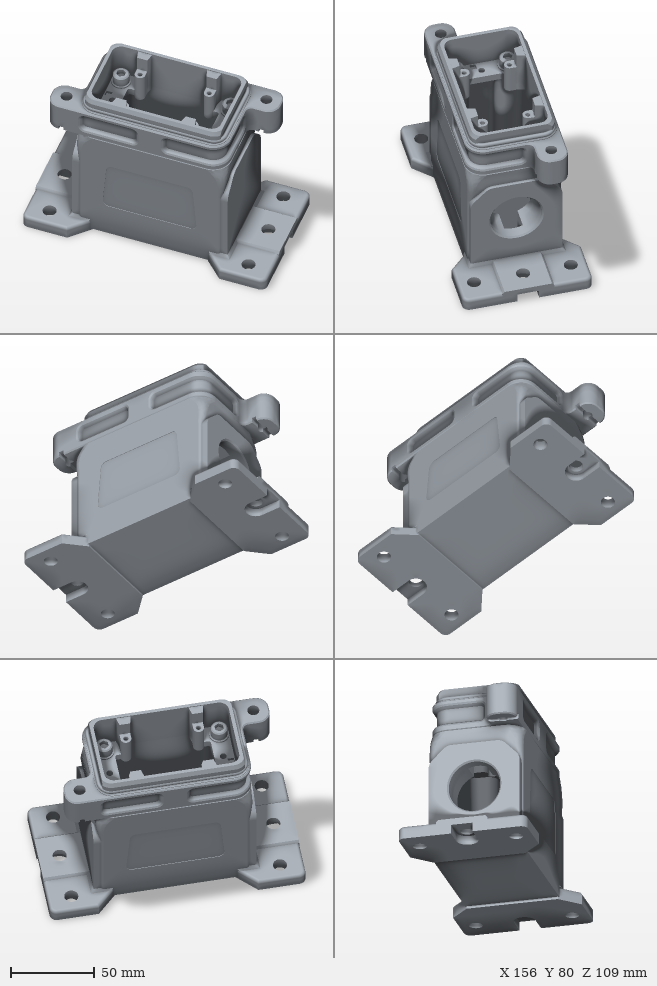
import cadquery as cq
import math

length, width, height = 156, 80.0, 109.0

foot_side_top = 8.1
foot_mid_top = 9.7
foot_mid_half, foot_step_run = 14.7, 1.4
foot_diagonal_x = 48.7
foot_inner_x = 37.0
foot_corner_radius, foot_edge_radius = 4.2, 2.0
foot_hole_d = 8.5
outer_hole_x, outer_hole_y, mid_hole_x = 63.6, 30.0, 65.2
key_slot_width, key_slot_height = 13.4, 5.6

body_bottom = 1.5
body_x, body_y, body_radius = 91.7, 58.3, 2.5
flare_bottom = 57.7
flare_stages = [(67.9, 95.2, 4.0), (74.0, 95.5, 6.0)]

plate_x, plate_half_y, plate_top = 49.8, 28.4, 69.9
plate_chamfer, plate_blend = 11.2, 7.8
skirt = 1.9
entry_z, entry_d, entry_chamfer = 41.8, 32.0, 1.0
entry_notch_x, entry_notch_half_y = 42.1, 5.8

collar_x, collar_y, collar_radius = 96.1, body_y, 11.5
collar_bottom, collar_top, collar_edge = 80.0, 100.2, 0.8
ear_end_x, ear_inner_y, ear_radius, ear_blend = 66.1, 10.5, 7.6, 3.9
ear_hole_x, ear_hole_y = 56.6, 19.7
ear_hole_d, ear_bore_d, ear_bore_depth = 6.0, 7.2, 9.4
platform_inset, platform_height = 1.2, 0.5
ear_slot_width, ear_slot_height = 3.3, 3.0

recess_start, recess_end = 7.2, 45.7
recess_bottom, recess_top = 83.5, 97.7
recess_depth, recess_inset, recess_radius = 2.8, 2.5, 4.4
recess_lip_depth, recess_lip_inset = 0.6, 1.1

rim_x, rim_y, rim_radius = 90.8, 52.7, 8.1
rim_end_x = 43.4
rim_chamfer_in, rim_chamfer_down = 1.5, 2.5
bead_bottom, bead_top, bead_out = 100.6, 103.5, 0.6

opening_x, opening_y, opening_radius = 82.4, 45.5, 6.0
shelf_z = 79.9
tray_top, tray_thickness = 85.5, 4.7
tray_edge_x, tray_edge_half_y = 29.2, 12.5
tray_gap_half_x, long_gap_radius, wide_gap_radius = 25.3, 0.8, 1.5
well_half_x, well_radius, well_floor, well_lean = 29.2, 4.7, 6.2, 1.9
niche_half_y, niche_radius, niche_mouth_radius = 8.3, 2.5, 6.0

post_x, post_top, post_tip_y = 22.2, 108.4, 17.6
post_root_half, post_tip_half = 4.5, 3.3
lug_y, lug_top = 14.0, 98.7
lug_hole_d, lug_hole_mouth_d, lug_hole_depth = 2.8, 3.5, 7.8

screw_x, screw_y, screw_top = 35.1, 16.2, 92.8
washer_d, washer_height = 12.0, 1.0
head_d, head_edge, hex_d, hex_depth = 10.0, 0.8, 6.0, 3.1
tray_hole_x, tray_hole_d = 34.6, 4.0
tray_notch_x, tray_notch_y, tray_notch_size, tray_notch_depth = 38.7, 4.2, 3.7, 1.9

panel_bottom, panel_top = 24.8, 59.7
panel_bottom_half, panel_top_half, panel_radius, panel_depth = 30.3, 27.5, 3.9, 0.3

ENDS = (-1, 1)
CORNERS = [(sx, sy) for sx in ENDS for sy in ENDS]


def rounded_block(size_x, size_y, radius, z0, z1):
    """Upright block, centred on the Z axis, with rounded vertical edges."""
    block = cq.Workplane("XY", origin=(0, 0, z0)).rect(size_x, size_y).extrude(z1 - z0)
    return block.edges("|Z").fillet(radius)


def box_between(x0, x1, y0, y1, z0, z1):
    return cq.Workplane("XY").box(x1 - x0, y1 - y0, z1 - z0, centered=False).translate((x0, y0, z0))


def upright(d, x, y, z0, z1):
    return cq.Workplane("XY", origin=(x, y, z0)).circle(d / 2).extrude(z1 - z0)


def countersunk(d, mouth_d, x, y, z0, z1):
    """Round hole with a 45 degree mouth at the top."""
    lead = (mouth_d - d) / 2
    mouth = cq.Workplane("XY", origin=(x, y, z1)).circle(mouth_d / 2).extrude(-lead, taper=45)
    return upright(d, x, y, z0, z1).union(mouth)


def half_turn(shape):
    return shape.rotate((0, 0, 0), (0, 0, 1), 180)


def foot():
    """Foot at the -X end."""
    end_x, half_y = -length / 2, width / 2
    inner_y = half_y - (foot_diagonal_x - foot_inner_x)
    outline = [
        (end_x, -half_y), (-foot_diagonal_x, -half_y), (-foot_inner_x, -inner_y),
        (-foot_inner_x, inner_y), (-foot_diagonal_x, half_y), (end_x, half_y),
    ]
    pad = cq.Workplane("XY").polyline(outline).close().extrude(foot_side_top)
    pad = pad.edges("|Z and <X").fillet(foot_corner_radius)
    pad = pad.faces(">Z").edges("not >X").fillet(foot_edge_radius)

    run_half = foot_mid_half + foot_step_run
    middle_section = [
        (-run_half, 0), (run_half, 0), (run_half, foot_side_top),
        (foot_mid_half, foot_mid_top), (-foot_mid_half, foot_mid_top), (-run_half, foot_side_top),
    ]
    middle = (
        cq.Workplane("YZ", origin=(end_x, 0, 0)).polyline(middle_section).close()
        .extrude(length / 2 - foot_inner_x)
    )
    bead = (
        cq.Workplane("XY", origin=(0, 0, foot_side_top))
        .rect(2 * (plate_x + skirt), 2 * (plate_half_y + skirt)).extrude(skirt, taper=45)
    )
    blank = cq.Workplane("XY").polyline(outline).close().extrude(foot_side_top + skirt)
    return pad.union(middle).union(bead.intersect(blank))


def foot_cuts():
    """Bolt holes and the round-ended key slot under the -X foot."""
    cuts = upright(foot_hole_d, -mid_hole_x, 0, 0, foot_mid_top)
    for side in ENDS:
        cuts = cuts.union(upright(foot_hole_d, -outer_hole_x, side * outer_hole_y, 0, foot_mid_top))
    slot_half = key_slot_width / 2
    slot = box_between(-length / 2, -mid_hole_x, -slot_half, slot_half, 0, key_slot_height)
    return cuts.union(slot).union(upright(key_slot_width, -mid_hole_x, 0, 0, key_slot_height))


def body():
    straight = rounded_block(body_x, body_y, body_radius, body_bottom, flare_bottom)
    stages = [
        (flare_bottom, body_x, body_radius), *flare_stages, (collar_bottom, collar_x, collar_radius),
    ]
    outlines = [
        cq.Sketch().rect(size_x, body_y).vertices().fillet(radius)
        .moved(cq.Location(cq.Vector(0, 0, z)))
        for z, size_x, radius in stages
    ]
    flare = cq.Workplane("XY").placeSketch(*outlines).loft()
    block = box_between(-collar_x / 2, collar_x / 2, -body_y / 2, body_y / 2, body_bottom, collar_bottom)
    return block.intersect(straight.union(flare)).clean()


def end_plates():
    plate = box_between(-plate_x, plate_x, -plate_half_y, plate_half_y, body_bottom, plate_top)
    plate = plate.edges("|X and >Z").chamfer(plate_chamfer)
    shoulder = plate_top - plate_chamfer
    upper = cq.selectors.BoxSelector((-length, -width, shoulder / 2), (length, width, height))
    return plate.edges("|X").edges(upper).fillet(plate_blend)


def label_panels():
    panel = (
        cq.Workplane("XZ", origin=(0, body_y / 2, 0))
        .polyline([
            (-panel_bottom_half, panel_bottom), (panel_bottom_half, panel_bottom),
            (panel_top_half, panel_top), (-panel_top_half, panel_top),
        ]).close().extrude(panel_depth)
        .edges("|Y").fillet(panel_radius)
    )
    return panel.union(half_turn(panel))


def ear():
    """Ear at the (-X, -Y) corner, blended into the collar end."""
    collar_end = -collar_x / 2
    tab = box_between(-ear_end_x, 0, -collar_y / 2, -ear_inner_y, collar_bottom, collar_top)
    tab = tab.edges("|Z and <X").fillet(ear_radius)
    web = box_between(collar_end - ear_blend, 0, -ear_inner_y, ear_blend - ear_inner_y,
                      collar_bottom, collar_top)
    web = web.cut(upright(2 * ear_blend, collar_end - ear_blend, ear_blend - ear_inner_y,
                          collar_bottom, collar_top))
    return tab.union(web)


def collar():
    ring = rounded_block(collar_x, collar_y, collar_radius, collar_bottom, collar_top)
    ring = ring.union(ear()).union(half_turn(ear())).clean()
    ring = ring.faces(">Z or <Z").edges().chamfer(collar_edge)
    platform = rounded_block(collar_x - 2 * platform_inset, collar_y - 2 * platform_inset,
                             collar_radius - platform_inset, collar_bottom, collar_top + platform_height)
    return ring.union(platform)


def ear_cuts():
    hole = upright(ear_hole_d, -ear_hole_x, -ear_hole_y, collar_bottom, collar_top)
    bore = upright(ear_bore_d, -ear_hole_x, -ear_hole_y, collar_top - ear_bore_depth, collar_top)
    slot_half = ear_slot_width / 2
    slot = box_between(-ear_hole_x - slot_half, slot_half - ear_hole_x, -collar_y / 2, -ear_inner_y,
                       collar_bottom, collar_bottom + ear_slot_height)
    cuts = hole.union(bore).union(slot)
    return cuts.union(half_turn(cuts))


def flat_recess(start, end):
    """Round-cornered recess with sloping walls in the -Y face."""
    middle_z = (recess_bottom + recess_top) / 2

    def stage(inset0, inset1, depth0, depth1):
        outline = (
            cq.Sketch().rect(end - start - 2 * inset0, recess_top - recess_bottom - 2 * inset0)
            .vertices().fillet(recess_radius - inset0)
        )
        slope = math.degrees(math.atan2(inset1 - inset0, depth1 - depth0))
        return (
            cq.Workplane("XZ", origin=((start + end) / 2, depth0 - collar_y / 2, middle_z))
            .placeSketch(outline).extrude(depth0 - depth1, taper=slope)
        )

    lip = stage(0, recess_lip_inset, 0, recess_lip_depth)
    return lip.union(stage(recess_lip_inset, recess_inset, recess_lip_depth, recess_depth))


def wrapped_recess():
    """Recess that runs round the (+X, -Y) corner."""
    corner_x = collar_x / 2 - collar_radius
    corner_y = collar_radius - collar_y / 2
    front = flat_recess(recess_start, length).intersect(
        box_between(0, corner_x, -width, 0, 0, height))
    side = flat_recess(-length, recess_start).rotate((0, 0, 0), (0, 0, 1), 90)
    side = side.translate((collar_x / 2 - collar_y / 2, 0, 0))
    side = side.intersect(box_between(0, length, corner_y, width, 0, height))
    lip_radius = collar_radius - recess_lip_depth
    floor_radius = collar_radius - recess_depth
    corner = (
        cq.Workplane("XZ", origin=(corner_x, corner_y, 0))
        .polyline([
            (collar_radius, recess_bottom), (collar_radius, recess_top),
            (lip_radius, recess_top - recess_lip_inset),
            (floor_radius, recess_top - recess_inset), (floor_radius, recess_bottom + recess_inset),
            (lip_radius, recess_bottom + recess_lip_inset),
        ]).close().revolve(90, (0, 0, 0), (0, -1, 0))
    )
    return front.union(corner).union(side)


def rim():
    block = rounded_block(rim_x, rim_y, rim_radius, collar_bottom, height)
    block = block.faces(">Z").edges().chamfer(rim_chamfer_down, rim_chamfer_in)
    block = block.intersect(box_between(-rim_end_x, rim_end_x, -width, width, 0, height))
    bead_radius = (bead_top - bead_bottom) / 2
    bead_z = bead_bottom + bead_radius
    bead_inset = bead_radius - bead_out
    path = rounded_block(rim_x - 2 * bead_inset, rim_y - 2 * bead_inset, rim_radius - bead_inset,
                         bead_z, height).faces("<Z").wires()
    bead = (
        cq.Workplane("XZ", origin=(0, 0, bead_z)).center(rim_x / 2 - bead_inset, 0)
        .circle(bead_radius).sweep(path)
    )
    neck = rounded_block(rim_x, rim_y, rim_radius, collar_bottom, bead_z)
    return block.union(bead).union(neck)


def cavity():
    opening = rounded_block(opening_x, opening_y, opening_radius, tray_top, height)
    tray_bottom = tray_top - tray_thickness
    long_gap = rounded_block(2 * tray_gap_half_x, opening_y, long_gap_radius, tray_bottom, tray_top)
    wide_gap = rounded_block(2 * tray_edge_x, 2 * tray_edge_half_y, wide_gap_radius, tray_bottom, tray_top)
    top_half_y = opening_y / 2
    floor_half_y = top_half_y - well_lean
    well = (
        cq.Workplane("YZ", origin=(-well_half_x, 0, 0))
        .polyline([
            (-floor_half_y, well_floor), (floor_half_y, well_floor),
            (top_half_y, tray_bottom), (-top_half_y, tray_bottom),
        ]).close().extrude(2 * well_half_x)
    )
    well = well.faces("<X or >X").edges("not |Y").fillet(well_radius)

    niche = rounded_block(opening_x, 2 * niche_half_y, niche_radius, well_floor, tray_bottom)
    niche = niche.intersect(box_between(0, length, -width, width, 0, height))
    mouth_x = well_half_x + niche_mouth_radius
    mouth_half_y = niche_half_y + niche_mouth_radius
    mouth = box_between(0, mouth_x, -mouth_half_y, mouth_half_y, well_floor, tray_bottom)
    for side_y in ENDS:
        mouth = mouth.cut(upright(2 * niche_mouth_radius, mouth_x, side_y * mouth_half_y,
                                  well_floor, tray_bottom))

    notch = box_between(-entry_notch_x, -well_half_x, -entry_notch_half_y, entry_notch_half_y,
                        well_floor, tray_bottom)
    return opening.union(long_gap).union(wide_gap).union(well).union(niche).union(mouth).union(notch)


def post(side_x, side_y):
    """Wall post with a lower, round-nosed screw lug in front of it."""
    wall_y = opening_y / 2
    centre_x = side_x * post_x
    root = (
        cq.Workplane("XY", origin=(centre_x, 0, shelf_z))
        .polyline([
            (-post_root_half, side_y * wall_y), (post_root_half, side_y * wall_y),
            (post_tip_half, side_y * post_tip_y), (-post_tip_half, side_y * post_tip_y),
        ]).close().extrude(post_top - shelf_z)
    )
    near_y, far_y = sorted((side_y * lug_y, side_y * wall_y))
    lug = box_between(centre_x - post_tip_half, centre_x + post_tip_half, near_y, far_y, shelf_z, lug_top)
    lug = lug.union(upright(2 * post_tip_half, centre_x, side_y * lug_y, shelf_z, lug_top))
    hole = countersunk(lug_hole_d, lug_hole_mouth_d, centre_x, side_y * lug_y,
                       lug_top - lug_hole_depth, lug_top)
    return root.union(lug).cut(hole)


def socket_screw(side_x, side_y):
    x, y = side_x * screw_x, side_y * screw_y
    washer = upright(washer_d, x, y, tray_top, tray_top + washer_height)
    head = upright(head_d, x, y, tray_top, screw_top).faces(">Z").chamfer(head_edge)
    socket = (
        cq.Workplane("XY", origin=(x, y, screw_top - hex_depth))
        .transformed(rotate=(0, 0, 30)).polygon(6, hex_d).extrude(hex_depth)
    )
    return washer.union(head).cut(socket)


def cable_entry():
    """Chamfered round opening through the thick -X end wall into the well."""
    wall = plate_x - well_half_x
    bore = (
        cq.Workplane("YZ", origin=(-plate_x, 0, entry_z)).circle(entry_d / 2).extrude(wall)
    )
    mouth = (
        cq.Workplane("YZ", origin=(-plate_x, 0, entry_z))
        .circle(entry_d / 2 + entry_chamfer).extrude(entry_chamfer, taper=45)
    )
    return bore.union(mouth)


result = body().cut(label_panels()).union(end_plates()).union(collar()).union(rim())
result = result.union(foot()).union(half_turn(foot()))
result = result.cut(foot_cuts()).cut(half_turn(foot_cuts())).cut(ear_cuts())

for recess in (flat_recess(-recess_end, -recess_start), wrapped_recess()):
    result = result.cut(recess).cut(half_turn(recess))

result = result.cut(cavity()).cut(cable_entry())
for sx, sy in CORNERS:
    result = result.union(post(sx, sy)).union(socket_screw(sx, sy))
for sx in ENDS:
    result = result.cut(upright(tray_hole_d, sx * tray_hole_x, 0, tray_top - tray_thickness, tray_top))
    notch_half = tray_notch_size / 2
    notch_x = sx * tray_notch_x
    result = result.cut(box_between(notch_x - notch_half, notch_x + notch_half, tray_notch_y - notch_half,
                                    tray_notch_y + notch_half, tray_top - tray_notch_depth, tray_top))